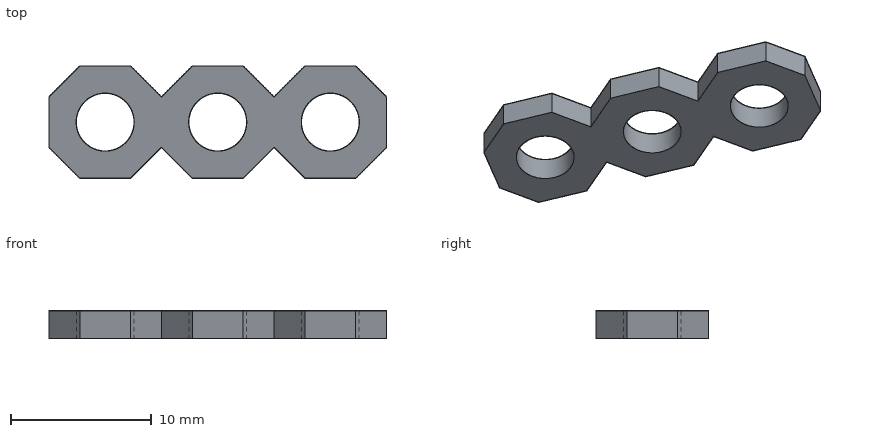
import cadquery as cq

cell_count = 3
cell_size = 8.0
corner_cut = 2.2
thickness = 2.0
hole_diameter = 4.1

cell_centres = [((i - (cell_count - 1) / 2) * cell_size, 0) for i in range(cell_count)]


def octagon_cell(centre):
    """Square plate with its four vertical corners cut at 45 degrees."""
    return (
        cq.Workplane("XY")
        .center(*centre)
        .rect(cell_size, cell_size)
        .extrude(thickness)
        .edges("|Z")
        .chamfer(corner_cut)
    )


def hole_cutters():
    """One through-hole cylinder at the centre of every cell."""
    return cq.Workplane("XY").pushPoints(cell_centres).circle(hole_diameter / 2).extrude(thickness)


strip = octagon_cell(cell_centres[0])
for cell_centre in cell_centres[1:]:
    strip = strip.union(octagon_cell(cell_centre))

result = strip.clean().cut(hole_cutters())